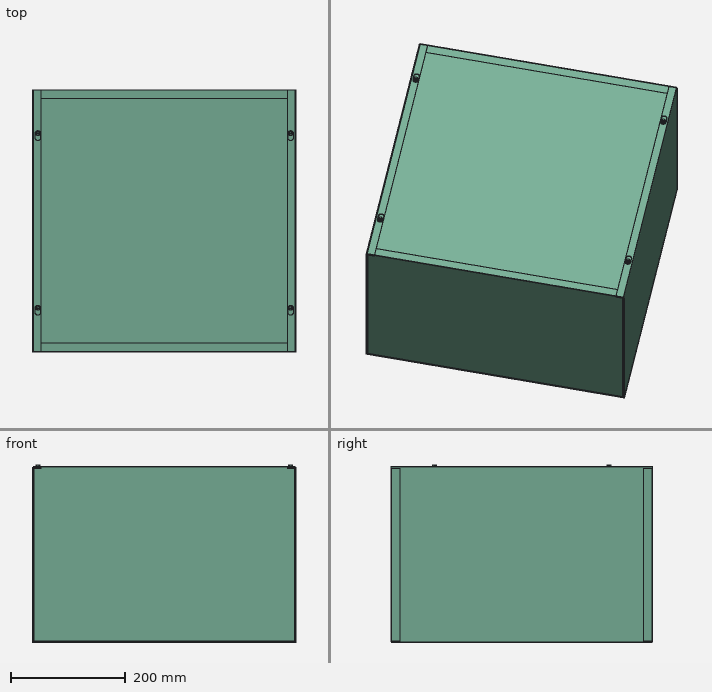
import cadquery as cq

INCH = 25.4

sheet = INCH / 16
bend_radius = 2.0
inner_bend_radius = bend_radius - sheet

nominal_width = 18 * INCH
depth = 18 * INCH
body_height = 12 * INCH + sheet
overall_height = 310.5
lip_width = 15.0
side_flange_width = 5 / 8 * INCH
end_relief_drop = 2 * sheet

half_width = nominal_width / 2 + sheet
half_inside = nominal_width / 2
half_depth = depth / 2
lip_edge_x = half_width - lip_width
lip_edge_y = half_depth - lip_width
lip_underside = body_height - sheet
cover_top = body_height + sheet

screw_inset = 3 / 8 * INCH
screw_pitch = 12 * INCH
shank_diameter = 3.73
screw_hole_diameter = 4.17
head_diameter = 7.14
shank_length = 8.0
driver_slot_width = 1.2
driver_slot_depth = 1.2
cover_slot_width = 9.75
cover_slot_travel = 7.3

screw_points = [
    (x_side * (half_width - screw_inset), y_side * screw_pitch / 2)
    for x_side in (-1, 1)
    for y_side in (-1, 1)
]


def block(x_range, y_range, z_range):
    """A box given by its limits along each axis."""
    (x0, x1), (y0, y1), (z0, z1) = x_range, y_range, z_range
    return cq.Workplane("XY").box(x1 - x0, y1 - y0, z1 - z0, centered=False).translate((x0, y0, z0))


def make_wrapper():
    """Floor, both X walls and their inward lips, bent from one sheet."""
    full_y = (-half_depth, half_depth)
    wrapper = block((-half_width, half_width), full_y, (0, body_height))
    wrapper = wrapper.edges("|Y and >Z").fillet(bend_radius)
    inside = block((-half_inside, half_inside), full_y, (sheet, lip_underside))
    wrapper = wrapper.cut(inside.edges("|Y and >Z").fillet(inner_bend_radius))
    wrapper = wrapper.cut(block((-lip_edge_x, lip_edge_x), full_y, (lip_underside, body_height)))

    for inner_y, outer_y in ((-half_depth, -half_depth + sheet), (half_depth - sheet, half_depth)):
        wrapper = wrapper.cut(
            block((-half_width, half_width), (inner_y, outer_y), (0, body_height - end_relief_drop))
        )

    holes = (
        cq.Workplane("XY", origin=(0, 0, lip_underside))
        .pushPoints(screw_points)
        .circle(screw_hole_diameter / 2)
        .extrude(sheet)
    )
    return wrapper.cut(holes)


def make_front_panel():
    """End panel at -Y with side and bottom flanges inside the wrapper and a lip on top."""
    face_y = -half_depth
    panel_top = body_height - bend_radius
    panel = block(
        (-half_inside, half_inside),
        (face_y, face_y + side_flange_width),
        (sheet, panel_top),
    )
    panel = panel.edges("<Y and (|Z or (|X and <Z))").fillet(bend_radius)
    panel = panel.cut(
        block(
            (-half_inside + sheet, half_inside - sheet),
            (face_y + sheet, face_y + side_flange_width),
            (2 * sheet, panel_top),
        )
    )

    for inner_x, outer_x in ((-half_inside, -half_inside + sheet), (half_inside - sheet, half_inside)):
        panel = panel.cut(
            block(
                (inner_x, outer_x),
                (face_y + bend_radius, face_y + side_flange_width),
                (sheet, 2 * sheet),
            )
        )

    lip_x = (-lip_edge_x, lip_edge_x)
    lip_bottom = panel_top - sheet
    lip = block(lip_x, (face_y, -lip_edge_y), (lip_bottom, body_height))
    lip = lip.edges("|X and <Y and >Z").fillet(bend_radius)
    under_lip = block(lip_x, (face_y + sheet, -lip_edge_y), (lip_bottom, lip_underside))
    lip = lip.cut(under_lip.edges("|X and <Y and >Z").fillet(inner_bend_radius))
    return panel.union(lip)


def make_cover():
    """Flat cover with a slot along Y at each screw."""
    cover = block(
        (-nominal_width / 2, nominal_width / 2),
        (-half_depth, half_depth),
        (body_height, cover_top),
    )
    slot_centers = [(x, y - cover_slot_travel / 2) for x, y in screw_points]
    slots = (
        cq.Workplane("XY", origin=(0, 0, body_height))
        .pushPoints(slot_centers)
        .slot2D(cover_slot_travel + cover_slot_width, cover_slot_width, 90)
        .extrude(sheet)
    )
    return cover.cut(slots)


def make_screw(x, y):
    """Slotted screw whose head sits on the lip and stands up through the cover slot."""
    head = (
        cq.Workplane("XY", origin=(x, y, body_height))
        .circle(head_diameter / 2)
        .extrude(overall_height - body_height)
    )
    shank = (
        cq.Workplane("XY", origin=(x, y, body_height))
        .circle(shank_diameter / 2)
        .extrude(-shank_length)
    )
    driver_slot = (
        cq.Workplane("XY", origin=(x, y, overall_height))
        .rect(head_diameter, driver_slot_width)
        .extrude(-driver_slot_depth)
    )
    return head.union(shank).cut(driver_slot)


wrapper = make_wrapper()
front_panel = make_front_panel()
back_panel = front_panel.mirror("XZ")
cover = make_cover()
screws = [make_screw(x, y) for x, y in screw_points]

result = cq.Compound.makeCompound(
    [wrapper.val(), front_panel.val(), back_panel.val(), cover.val()] + [screw.val() for screw in screws]
)